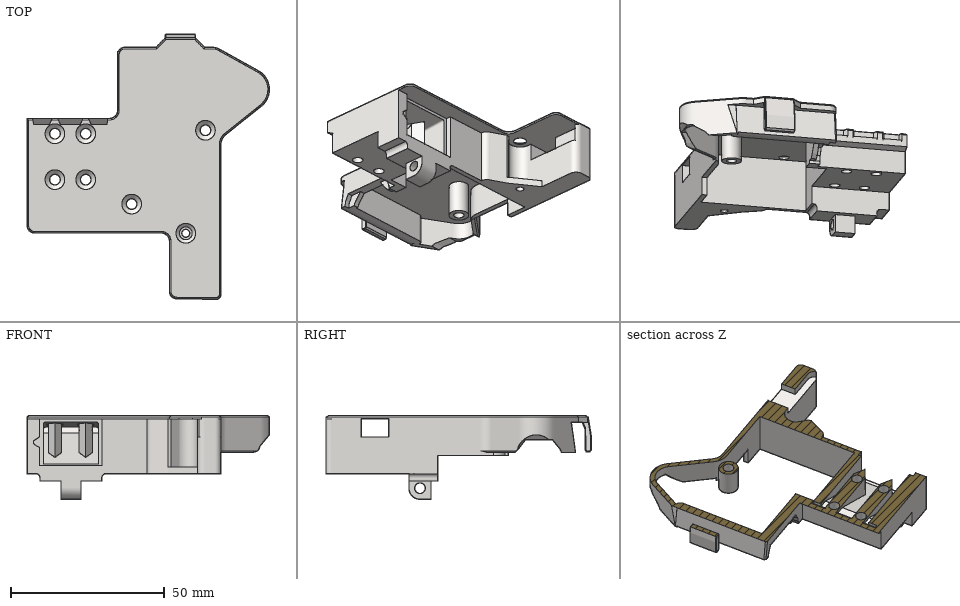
import cadquery as cq
plate_thickness = 2.25
overhang_thickness = 1.1
edge_chamfer = 0.5
wall = 1.7
outer_round = 2.4
inner_round = 2.7
margin = 0.9
far = 103.6

left_x = 0.0
upper_left_x = 29.4
leg_left_x = 46.25
right_x = 63.0
tip_x = 78.8
wing_end_x = 62.5
plate_front_y = 21.7
plate_back_y = 58.9
leg_front_y = 0.3
upper_back_y = 82.1
tab_back_y = 85.0
tab_left, tab_right = 44.9, 54.8
full_length = 86.3

wall_front_y = 26.9
box_back_y = 56.7
back_wall_y = 78.8
leg_wall_x = 55.4
ledge_corner = (45.8, 21.9)

deep_z = -19.0
middle_z = -13.0
shallow_z = -12.1
deep_back_y = 36.3
middle_back_y = 59.3
arch_top_z = -7.9

screw_bore = 3.4
screw_head = 6.4
divider_xs = (9.1, 19.1)
divider_hole_ys = (39.0, 53.9)
open_hole = (34.0, 31.1)
boss_hole = (58.0, 55.1)
deep_screw = (51.6, 21.6)


def block(x0, x1, y0, y1, z0, z1):
    """Box between two corner coordinates on each axis."""
    return cq.Workplane("XY").box(x1 - x0, y1 - y0, z1 - z0, centered=False).translate((x0, y0, z0))


def side_prism(points, x0, x1):
    """Closed (Y, Z) profile extruded along X from x0 to x1."""
    return cq.Workplane("YZ").polyline(points).close().extrude(x1 - x0).translate((x0, 0, 0))


def front_prism(points, y0, y1):
    """Closed (X, Z) profile extruded along Y from y0 to y1."""
    return cq.Workplane("XZ").polyline(points).close().extrude(y0 - y1).translate((0, y0, 0))


def rod(x, y, diameter, z0, z1):
    """Vertical cylinder."""
    return cq.Workplane("XY").center(x, y).circle(diameter / 2).extrude(z1 - z0).translate((0, 0, z0))


def right_side(sketch):
    """Right-hand outline from the leg up round the rounded tip."""
    return (
        sketch.lineTo(right_x, 50.05)
        .threePointArc((63.5, 52.3), (64.9, 53.85))
        .lineTo(76.3, 63.0)
        .threePointArc((tip_x, 68.35), (75.25, 74.4))
        .lineTo(wing_end_x, 81.5)
    )


def plate_outline():
    corner = outer_round
    step = inner_round
    tab_flare = 2.9
    sketch = (
        cq.Workplane("XY")
        .moveTo(left_x, plate_back_y)
        .lineTo(left_x, plate_front_y + corner)
        .radiusArc((left_x + corner, plate_front_y), -corner)
        .lineTo(leg_left_x - step, plate_front_y)
        .radiusArc((leg_left_x, plate_front_y - step), step)
        .lineTo(leg_left_x, leg_front_y + corner)
        .radiusArc((leg_left_x + corner, leg_front_y), -corner)
        .lineTo(right_x - corner / 2, leg_front_y)
        .radiusArc((right_x, leg_front_y + corner / 2), -corner / 2)
    )
    return (
        right_side(sketch)
        .threePointArc((61.45, 81.9), (60.3, upper_back_y))
        .lineTo(tab_right + tab_flare, upper_back_y)
        .lineTo(tab_right, tab_back_y)
        .lineTo(tab_left, tab_back_y)
        .lineTo(tab_left - tab_flare, upper_back_y)
        .lineTo(upper_left_x + corner, upper_back_y)
        .radiusArc((upper_left_x, upper_back_y - corner), -corner)
        .lineTo(upper_left_x, plate_back_y + step)
        .radiusArc((upper_left_x - step, plate_back_y), step)
        .close()
    )


plate = plate_outline().extrude(-plate_thickness).faces(">Z").edges().chamfer(edge_chamfer)


def body_outline():
    corner = outer_round
    step = inner_round
    sketch = (
        cq.Workplane("XY")
        .moveTo(left_x, plate_back_y)
        .lineTo(left_x, wall_front_y)
        .lineTo(39.0, wall_front_y)
        .threePointArc((39.4, 25.4), (40.6, 24.5))
        .lineTo(*ledge_corner)
        .lineTo(leg_wall_x, 15.4)
        .lineTo(leg_wall_x, corner)
        .radiusArc((leg_wall_x + corner, 0), -corner)
        .lineTo(right_x - wall, 0)
        .radiusArc((right_x, wall), -wall)
    )
    return (
        right_side(sketch)
        .lineTo(wing_end_x, back_wall_y)
        .lineTo(upper_left_x, back_wall_y)
        .lineTo(upper_left_x, plate_back_y + step)
        .radiusArc((upper_left_x - step, plate_back_y), step)
        .close()
    )


box_right_x = 24.3
body = body_outline().extrude(deep_z + edge_chamfer).translate((0, 0, -edge_chamfer))
body = body.cut(block(-margin, far, deep_back_y, far, deep_z - margin, middle_z))
body = body.cut(block(-margin, far, middle_back_y, far, deep_z - margin, shallow_z))
body = body.cut(block(right_x, far, deep_back_y, far, deep_z - margin, shallow_z))

cavity = body_outline().offset2D(-wall).extrude(deep_z)
cavity = cavity.intersect(
    block(box_right_x + wall, far, wall_front_y + wall, far, deep_z, -plate_thickness)
)
left_wall = block(left_x, upper_left_x + 2 * wall, box_back_y - wall, far, deep_z, 0)
body = body.cut(cavity.cut(left_wall))
boss = rod(*boss_hole, screw_head, middle_z, -overhang_thickness)

overhang = block(-margin, right_x, -margin, wall_front_y, -plate_thickness, -overhang_thickness)
result = plate.cut(overhang).union(body).union(boss)

finger_z = -11.8
root_z = -1.3
lean_top_y, lean_bottom_y = 79.65, 81.1
back_wall = side_prism(
    [(78.1, root_z), (lean_top_y, root_z), (lean_bottom_y, finger_z), (79.5, shallow_z), (78.1, shallow_z)],
    upper_left_x, right_x,
)
outer_corner = cq.NearestToPointSelector((upper_left_x, 80.4, -6.6))
back_wall = back_wall.edges(outer_corner).chamfer(edge_chamfer)
behind_back_wall = side_prism(
    [(lean_top_y, -plate_thickness), (lean_bottom_y, finger_z), (lean_bottom_y, middle_z),
     (full_length, middle_z), (full_length, -plate_thickness)],
    upper_left_x - margin, far,
)
clip_chamfer = 0.3
clip_root_y = 83.3
clip_knee_z = -11.2
clip = side_prism(
    [(clip_root_y, root_z), (85.3, -edge_chamfer), (full_length, -6.9),
     (full_length, clip_knee_z), (85.8, finger_z), (84.6, finger_z), (84.2, clip_knee_z),
     (84.1, -4.3), (clip_root_y, -plate_thickness)],
    tab_left, tab_right,
)
clip = clip.faces("<X or >X").chamfer(clip_chamfer)
result = result.cut(behind_back_wall).union(back_wall).union(clip)

wing_cut_z = shallow_z - margin
arch_bend_z = -10.8
arch = side_prism(
    [(61.4, wing_cut_z), (61.4, shallow_z), (62.65, arch_bend_z), (64.8, arch_top_z),
     (73.6, arch_top_z), (75.95, arch_bend_z), (76.55, shallow_z), (76.55, wing_cut_z)],
    upper_left_x - margin, far,
)
side_opening = side_prism(
    [(middle_back_y, middle_z), (59.7, -10.35), (61.0, arch_top_z), (77.5, arch_top_z), (78.7, -10.35),
     (79.1, middle_z)],
    upper_left_x - margin, upper_left_x + wall,
)
tip_bevel = front_prism(
    [(tip_x + margin, -5.3), (75.8, -9.9), (75.25, -11.2), (74.0, shallow_z), (74.0, wing_cut_z),
     (tip_x + margin, wing_cut_z)],
    wall_front_y, far,
)
result = result.cut(arch).cut(side_opening).cut(tip_bevel)
wing_front_edge = cq.NearestToPointSelector((68.2, 56.5, shallow_z))
result = result.edges(wing_front_edge).chamfer(edge_chamfer)

window_left, window_right = 4.0, box_right_x
window_bottom = -16.2
recess_depth = 1.7
channel_left, channel_right = 5.35, 23.2
channel_bottom, channel_top = -15.7, -2.1
channel_front_y = wall_front_y + recess_depth
ramp_top_y, ramp_top_z = 52.5, -5.7
kick_y = 55.4
lip_z = -2.4
ceiling_round = 0.7
ceiling_back_z = -3.8
exit_front_y = 57.0

recess = block(
    window_left, window_right, wall_front_y - margin, channel_front_y, window_bottom, -overhang_thickness
)
side_notch = front_prism(
    [(window_left, -7.0), (2.85, -7.8), (2.2, -8.3), (2.2, -9.15), (2.85, -9.75), (window_left, -10.35)],
    wall_front_y - margin, channel_front_y,
)
channel = side_prism(
    [(wall_front_y, channel_bottom), (channel_front_y, channel_bottom), (ramp_top_y, ramp_top_z),
     (kick_y, ramp_top_z), (kick_y, ceiling_back_z), (wall_front_y, channel_top)],
    channel_left, channel_right,
)
channel = channel.faces(">Z").edges("not |X").fillet(ceiling_round)

kick = side_prism(
    [(kick_y, ramp_top_z), (plate_back_y, lip_z), (plate_back_y, margin), (exit_front_y, margin),
     (exit_front_y, ceiling_back_z), (kick_y, ceiling_back_z)],
    left_x, upper_left_x,
)
mouth = (
    cq.Workplane("XY")
    .polyline([(2.6, kick_y), (25.8, kick_y), (26.2, plate_back_y), (1.7, plate_back_y)])
    .close()
    .extrude(-channel_bottom, both=True)
)
exit_mouth = kick.intersect(mouth)

undercut_back_y = 61.7
rear_undercut = side_prism(
    [(undercut_back_y, -3.3), (box_back_y, -5.5), (box_back_y, middle_z - margin),
     (undercut_back_y, middle_z - margin)],
    left_x - margin, upper_left_x,
)


def divider(x):
    """Pointed rib from ramp to plate that carries two screws."""
    half_width = 2.2
    tail_half_width = 0.9
    nose_y, shoulder_y, tail_y = 33.6, 37.3, 56.1
    flare_height = 1.7
    shape = (
        cq.Workplane("XY")
        .polyline([
            (x, nose_y), (x + half_width, shoulder_y), (x + half_width, tail_y),
            (x + tail_half_width, plate_back_y), (x - tail_half_width, plate_back_y),
            (x - half_width, tail_y), (x - half_width, shoulder_y),
        ])
        .close()
        .extrude(deep_z)
    )
    for y in divider_hole_ys:
        flare = cq.Solid.makeCone(half_width, screw_head / 2, flare_height, cq.Vector(x, y, ceiling_back_z))
        shape = shape.union(cq.Workplane("XY").add(flare))
    return shape


passage = channel.union(exit_mouth)
for x in divider_xs:
    passage = passage.cut(divider(x))
result = result.cut(recess).cut(side_notch).cut(passage).cut(rear_undercut)

foot_left, foot_right = 4.1, box_right_x
foot_z = -21.3
foot_round, foot_round_height = 0.9, 1.6
foot_round_mid, foot_round_mid_height = 0.3, 0.5
lug_left, lug_right = 11.0, 17.6
lug_radius = 3.6
lug_z = -27.3

foot = (
    cq.Workplane("XZ")
    .moveTo(foot_left - foot_round, deep_z)
    .threePointArc(
        (foot_left - foot_round_mid, deep_z - foot_round_mid_height), (foot_left, deep_z - foot_round_height)
    )
    .lineTo(foot_left, foot_z)
    .lineTo(foot_right, foot_z)
    .lineTo(foot_right, deep_z - foot_round_height)
    .threePointArc(
        (foot_right + foot_round_mid, deep_z - foot_round_mid_height), (foot_right + foot_round, deep_z)
    )
    .lineTo(foot_right + foot_round, deep_z + margin)
    .lineTo(foot_left - foot_round, deep_z + margin)
    .close()
    .extrude(wall_front_y - deep_back_y)
    .translate((0, wall_front_y, 0))
)
lug = (
    cq.Workplane("YZ")
    .moveTo(wall_front_y, deep_z)
    .lineTo(wall_front_y, lug_z + lug_radius)
    .radiusArc((wall_front_y + lug_radius, lug_z), -lug_radius)
    .lineTo(wall_front_y + 2 * lug_radius, lug_z)
    .lineTo(wall_front_y + 2 * lug_radius, deep_z)
    .close()
    .moveTo(wall_front_y + lug_radius, lug_z + lug_radius)
    .circle(screw_bore / 2)
    .extrude(lug_right - lug_left)
    .translate((lug_left, 0, 0))
)
result = result.union(foot).union(lug)

pocket_floor_z = -16.7
slot_bottom_z = -7.0
slot_back_y, slot_front_y = 20.4, 11.5
relief_depth = 2.4
relief_round = 2.1
relief_front_y = 0.95

pocket_front_y = 8.6
pocket = (
    cq.Workplane("XY")
    .moveTo(ledge_corner[0], pocket_front_y)
    .lineTo(*ledge_corner)
    .lineTo(46.9, 22.1)
    .lineTo(49.7, 24.85)
    .threePointArc((54.3, 24.25), (leg_wall_x, deep_screw[1]))
    .lineTo(leg_wall_x, pocket_front_y)
    .close()
    .extrude(pocket_floor_z + overhang_thickness)
    .translate((0, 0, -overhang_thickness))
)
slot = block(leg_wall_x - margin, far, slot_front_y, slot_back_y, slot_bottom_z, -overhang_thickness)
relief = block(
    leg_wall_x - margin, leg_wall_x + relief_depth, relief_front_y, slot_back_y,
    slot_bottom_z, -overhang_thickness,
)
relief = relief.edges("|Z and <Y and >X").fillet(relief_round)
result = result.cut(pocket).cut(slot).cut(relief)


def countersink(x, y, bore):
    depth = (screw_head - bore) / 2
    cone = cq.Solid.makeCone(bore / 2, screw_head / 2, depth, cq.Vector(x, y, -depth))
    return cq.Workplane("XY").add(cone)


holes = [(x, y) for x in divider_xs for y in divider_hole_ys] + [open_hole, boss_hole]
for x, y in holes:
    result = result.cut(rod(x, y, screw_bore, deep_z - margin, margin)).cut(countersink(x, y, screw_bore))

deep_screw_bore = 2.5
deep_screw_passage = 4.0
result = result.cut(rod(*deep_screw, deep_screw_bore, deep_z - margin, margin))
result = result.cut(rod(*deep_screw, deep_screw_passage, pocket_floor_z, margin))
result = result.cut(countersink(*deep_screw, deep_screw_passage))